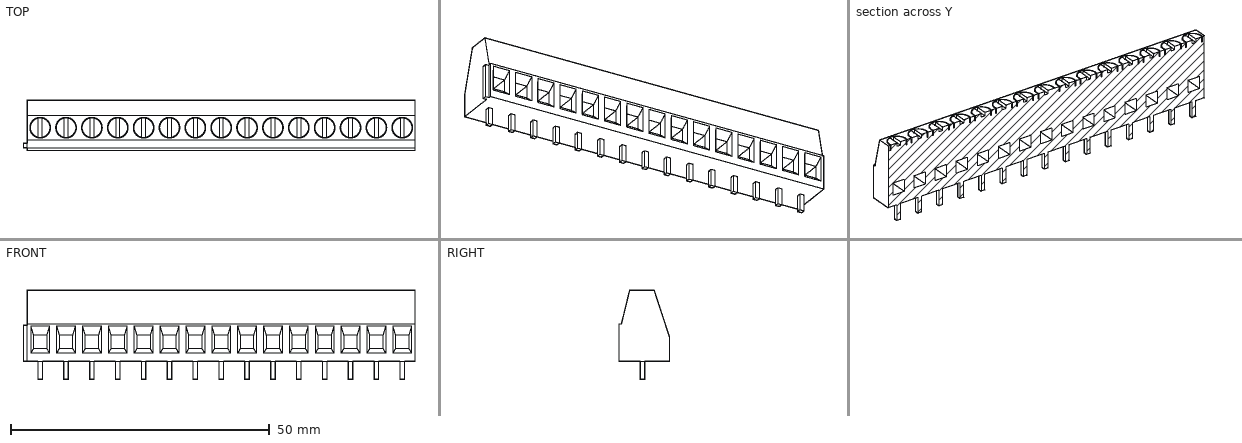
import cadquery as cq

POLE_COUNT = 15
PITCH = 5.0
BODY_LENGTH = POLE_COUNT * PITCH

BODY_DEPTH = 9.8
BODY_HEIGHT = 13.8
TOP_FRONT_Y = 2.05
TOP_BACK_Y = 6.8
BACK_WALL_HEIGHT = 4.8
LIP_HEIGHT = 7.3
LIP_DEPTH = 0.45

RIB_PROJECTION = 0.75
RIB_FRONT_Y = 0.5
RIB_WIDTH = 0.9
RIB_HEIGHT = 7.05

FUNNEL_WIDTH = 3.6
FUNNEL_BOTTOM_Z = 1.6
FUNNEL_TOP_Z = 6.8
WIRE_HOLE_SIZE = 2.6
WIRE_HOLE_BOTTOM_Z = 2.5
FUNNEL_DEPTH = 1.0
WIRE_HOLE_DEPTH = 4.0

SCREW_Y = (TOP_FRONT_Y + TOP_BACK_Y) / 2
WELL_DIAMETER = 4.0
SCREW_DIAMETER = 3.8
WELL_DEPTH = 1.1
SLOT_WIDTH = 0.75
SLOT_DEPTH = 0.75

PIN_SIZE = 0.9
PIN_LENGTH = 3.5
PIN_Y = 4.55

pole_positions = [(i + 0.5) * PITCH for i in range(POLE_COUNT)]


def make_body():
    """Tapered housing with a small lip along the lower front."""
    profile = [
        (0, 0),
        (BODY_DEPTH, 0),
        (BODY_DEPTH, BACK_WALL_HEIGHT),
        (TOP_BACK_Y, BODY_HEIGHT),
        (TOP_FRONT_Y, BODY_HEIGHT),
        (LIP_DEPTH, LIP_HEIGHT),
        (0, LIP_HEIGHT),
    ]
    return cq.Workplane("YZ").polyline(profile).close().extrude(BODY_LENGTH)


def make_rib():
    """Upright rib standing on the -X end face."""
    rib = cq.Workplane("XY").box(RIB_PROJECTION, RIB_WIDTH, RIB_HEIGHT, centered=False)
    return rib.translate((-RIB_PROJECTION, RIB_FRONT_Y, 0))


def make_wire_entry(x):
    """Cutter for one wire entry: funnel from the front face, then a square hole."""
    mouth_z = (FUNNEL_BOTTOM_Z + FUNNEL_TOP_Z) / 2
    hole_z = WIRE_HOLE_BOTTOM_Z + WIRE_HOLE_SIZE / 2
    funnel = (
        cq.Workplane("XZ")
        .center(x, mouth_z)
        .rect(FUNNEL_WIDTH, FUNNEL_TOP_Z - FUNNEL_BOTTOM_Z)
        .workplane(offset=-FUNNEL_DEPTH)
        .center(0, hole_z - mouth_z)
        .rect(WIRE_HOLE_SIZE, WIRE_HOLE_SIZE)
        .loft(ruled=True)
    )
    hole = (
        cq.Workplane("XZ", origin=(x, FUNNEL_DEPTH, hole_z))
        .rect(WIRE_HOLE_SIZE, WIRE_HOLE_SIZE)
        .extrude(-WIRE_HOLE_DEPTH)
    )
    return funnel.union(hole)


def make_screw_gap(x):
    """Cutter for one screw: the ring-shaped gap around its head and its driver slot."""
    top = cq.Workplane("XY", origin=(x, SCREW_Y, BODY_HEIGHT))
    well = top.circle(WELL_DIAMETER / 2).extrude(-WELL_DEPTH)
    screw = top.circle(SCREW_DIAMETER / 2).extrude(-WELL_DEPTH)
    slot = top.rect(SLOT_WIDTH, WELL_DIAMETER).extrude(-SLOT_DEPTH)
    return well.cut(screw.cut(slot))


def make_pin(x):
    """Square solder pin hanging from the underside."""
    return (
        cq.Workplane("XY", origin=(x, PIN_Y, 0))
        .rect(PIN_SIZE, PIN_SIZE)
        .extrude(-PIN_LENGTH)
    )


result = make_body().union(make_rib())
for pole_x in pole_positions:
    result = result.cut(make_wire_entry(pole_x)).cut(make_screw_gap(pole_x)).union(make_pin(pole_x))